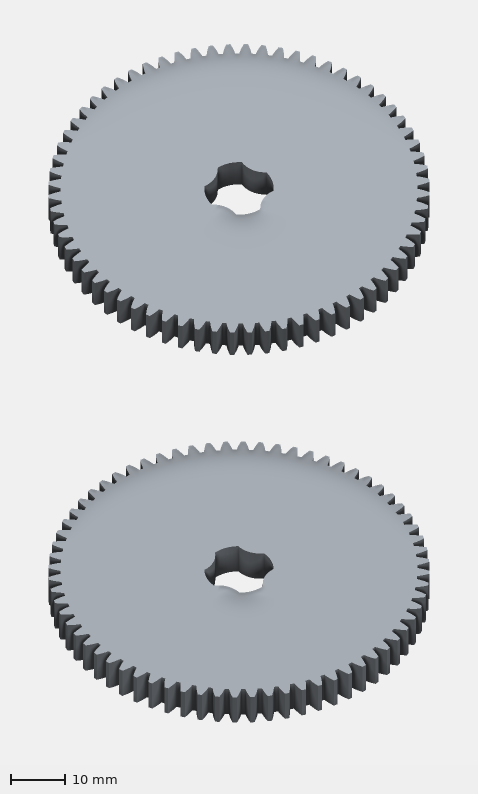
import cadquery as cq
import math

teeth = 68
outside_diameter = 70.0
thickness = 6.2
pressure_angle = math.radians(20)
dedendum_factor = 1.25
flank_steps = 6

bore_radius = 6.4
key_tip_distance = 5.1
key_radius = 4.9
key_count = 4

module = outside_diameter / (teeth + 2)
pitch_radius = module * teeth / 2
outer_radius = outside_diameter / 2
root_radius = pitch_radius - dedendum_factor * module
base_radius = pitch_radius * math.cos(pressure_angle)
tooth_pitch_angle = 2 * math.pi / teeth


def involute(angle):
    """Involute function of a pressure angle."""
    return math.tan(angle) - angle


def polar(radius, angle):
    """X and Y of a point at the given radius and angle."""
    return (radius * math.cos(angle), radius * math.sin(angle))


def half_tooth_angle(radius):
    """Half the angle that a tooth covers at the given radius."""
    roll = math.acos(base_radius / radius)
    return tooth_pitch_angle / 4 + involute(pressure_angle) - involute(roll)


def flank(side, center_angle):
    """Points of one involute flank, from the root circle to the tip."""
    radii = [
        root_radius + (outer_radius - root_radius) * step / flank_steps
        for step in range(flank_steps + 1)
    ]
    return [polar(r, center_angle + side * half_tooth_angle(r)) for r in radii]


def gear_blank():
    root_half_angle = half_tooth_angle(root_radius)
    outline = cq.Workplane("XY").moveTo(*polar(root_radius, -root_half_angle))
    for tooth in range(teeth):
        center = tooth * tooth_pitch_angle
        rising = flank(-1, center)
        falling = flank(1, center)[::-1]
        next_root = center + tooth_pitch_angle - root_half_angle
        outline = (
            outline.spline(rising[1:], includeCurrent=True)
            .threePointArc(polar(outer_radius, center), falling[0])
            .spline(falling[1:], includeCurrent=True)
            .threePointArc(
                polar(root_radius, center + tooth_pitch_angle / 2),
                polar(root_radius, next_root),
            )
        )
    return outline.close().extrude(thickness)


def splined_bore():
    keys = (
        cq.Workplane("XY")
        .polarArray(key_tip_distance + key_radius, 0, 360, key_count)
        .circle(key_radius)
        .extrude(thickness)
    )
    return cq.Workplane("XY").circle(bore_radius).extrude(thickness).cut(keys)


result = gear_blank().cut(splined_bore())